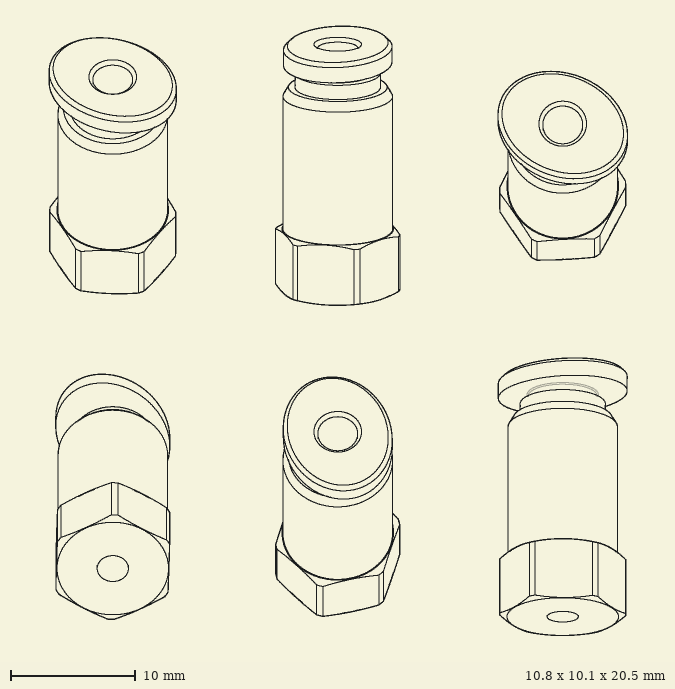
import cadquery as cq
import math

TOTAL_HEIGHT = 20.5
HEX_HEIGHT = 5.05
BODY_SHOULDER_Z = 16.15
BODY_TOP_Z = 16.91
RING_TOP_Z = 18.1
FLANGE_BOTTOM_Z = 18.9

HEX_SIDES = 6
HEX_ACROSS_FLATS = 9.0
HEX_CORNER_DIAMETER = 10.1
HEX_CHAMFER_DIAMETER = 8.94
HEX_TOP_CHAMFER_HEIGHT = 0.25
HEX_BOTTOM_CHAMFER_HEIGHT = 0.2

BODY_DIAMETER = 8.8
BODY_TOP_DIAMETER = 7.91
RING_DIAMETER = 6.85
NECK_DIAMETER = 5.51
NECK_FILLET = 0.1

FLANGE_LENGTH = 10.8
FLANGE_WIDTH = 8.6
FLANGE_CHAMFER = 0.33

TUBE_DIAMETER = 3.2
TUBE_MOUTH_DIAMETER = 3.81
PASSAGE_DIAMETER = 2.5
TUBE_DEPTH = 12.0


def revolved(profile):
    """Turn a closed (radius, height) profile about the Z axis."""
    return cq.Workplane("XZ").polyline(profile).close().revolve(360, (0, 0), (0, 1))


def hex_foot():
    """Hexagon with corners on +Y and -Y, its corners turned down and chamfered."""
    half_corner_angle = 180 / HEX_SIDES
    across_corners = HEX_ACROSS_FLATS / math.cos(math.radians(half_corner_angle))
    prism = (
        cq.Workplane("XY")
        .polygon(HEX_SIDES, across_corners)
        .extrude(HEX_HEIGHT)
        .rotate((0, 0, 0), (0, 0, 1), half_corner_angle)
    )
    corner_radius = HEX_CORNER_DIAMETER / 2
    chamfer_radius = HEX_CHAMFER_DIAMETER / 2
    turned_blank = revolved([
        (0, 0),
        (chamfer_radius, 0),
        (corner_radius, HEX_BOTTOM_CHAMFER_HEIGHT),
        (corner_radius, HEX_HEIGHT - HEX_TOP_CHAMFER_HEIGHT),
        (chamfer_radius, HEX_HEIGHT),
        (0, HEX_HEIGHT),
    ])
    return prism.intersect(turned_blank)


def body_and_sleeve():
    """Round body with a tapered shoulder, then the ring and the neck, which flares into the flange."""
    body_radius = BODY_DIAMETER / 2
    ring_radius = RING_DIAMETER / 2
    neck_radius = NECK_DIAMETER / 2
    profile = (
        cq.Workplane("XZ")
        .lineTo(body_radius, 0)
        .lineTo(body_radius, BODY_SHOULDER_Z)
        .lineTo(BODY_TOP_DIAMETER / 2, BODY_TOP_Z)
        .lineTo(ring_radius, BODY_TOP_Z)
        .lineTo(ring_radius, RING_TOP_Z)
        .lineTo(neck_radius, RING_TOP_Z)
        .lineTo(neck_radius, FLANGE_BOTTOM_Z - NECK_FILLET)
        .radiusArc((neck_radius + NECK_FILLET, FLANGE_BOTTOM_Z), NECK_FILLET)
        .lineTo(0, FLANGE_BOTTOM_Z)
        .close()
    )
    return profile.revolve(360, (0, 0), (0, 1))


def push_flange():
    """Elliptical flange, long side along X, with a chamfered top rim."""
    return (
        cq.Workplane("XY")
        .workplane(offset=FLANGE_BOTTOM_Z)
        .ellipse(FLANGE_LENGTH / 2, FLANGE_WIDTH / 2)
        .extrude(TOTAL_HEIGHT - FLANGE_BOTTOM_Z)
        .faces(">Z")
        .chamfer(FLANGE_CHAMFER)
    )


def bore():
    """Tube socket with a 45 degree mouth, then a narrower passage to the bottom."""
    mouth_depth = (TUBE_MOUTH_DIAMETER - TUBE_DIAMETER) / 2
    socket_floor_z = TOTAL_HEIGHT - TUBE_DEPTH
    return revolved([
        (0, 0),
        (PASSAGE_DIAMETER / 2, 0),
        (PASSAGE_DIAMETER / 2, socket_floor_z),
        (TUBE_DIAMETER / 2, socket_floor_z),
        (TUBE_DIAMETER / 2, TOTAL_HEIGHT - mouth_depth),
        (TUBE_MOUTH_DIAMETER / 2, TOTAL_HEIGHT),
        (0, TOTAL_HEIGHT),
    ])


result = hex_foot().union(body_and_sleeve()).union(push_flange()).cut(bore())